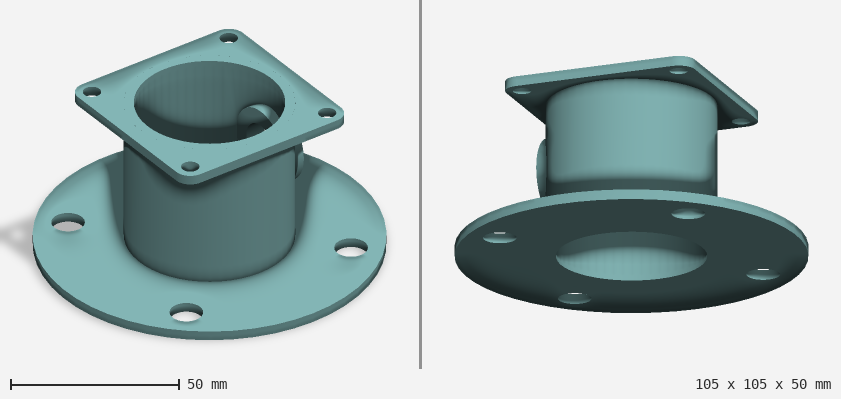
import cadquery as cq

TOTAL_HEIGHT = 50.0
PLATE_THICKNESS = 3.0
TILT = 14

TUBE_DIAMETER = 50.9
BORE_DIAMETER = 44.9

BASE_DIAMETER = 105
BASE_HOLE_DIAMETER = 10.0
BASE_HOLE_CIRCLE = 85

TOP_HOLE_SPACING = 50.0
TOP_CORNER_RADIUS = 5.0
TOP_SIDE = TOP_HOLE_SPACING + 2 * TOP_CORNER_RADIUS
TOP_HOLE_DIAMETER = 5.5

PORT_DIAMETER = 25.0
PORT_BORE_DIAMETER = 15.0
PORT_HEIGHT = 27.0
PORT_INNER_FACE = 18.8
PORT_OUTER_FACE = TUBE_DIAMETER / 2


def tilt(body):
    """Turn a body by the common angle about the tube axis."""
    return body.rotate((0, 0, 0), (0, 0, 1), TILT)


def make_base_flange():
    """Round plate that fits around the foot of the tube."""
    plate = cq.Workplane("XY").circle(BASE_DIAMETER / 2).circle(TUBE_DIAMETER / 2).extrude(PLATE_THICKNESS)
    holes = (
        cq.Workplane("XY")
        .polarArray(BASE_HOLE_CIRCLE / 2, 45, 360, 4)
        .circle(BASE_HOLE_DIAMETER / 2)
        .extrude(PLATE_THICKNESS)
    )
    return tilt(plate.cut(holes))


def make_top_flange():
    """Rounded square plate that fits around the head of the tube."""
    plate = (
        cq.Workplane("XY", origin=(0, 0, TOTAL_HEIGHT - PLATE_THICKNESS))
        .rect(TOP_SIDE, TOP_SIDE)
        .extrude(PLATE_THICKNESS)
        .edges("|Z")
        .fillet(TOP_CORNER_RADIUS)
    )
    plate = plate.faces(">Z").workplane().hole(TUBE_DIAMETER)
    plate = (
        plate.faces(">Z")
        .workplane()
        .rect(TOP_HOLE_SPACING, TOP_HOLE_SPACING, forConstruction=True)
        .vertices()
        .hole(TOP_HOLE_DIAMETER)
    )
    return tilt(plate)


def port_cylinder(diameter, inner_face):
    """Cylinder along +Y from inner_face to the outer face of the port."""
    return (
        cq.Workplane("XZ", origin=(0, inner_face, PORT_HEIGHT))
        .circle(diameter / 2)
        .extrude(inner_face - PORT_OUTER_FACE)
    )


def make_tube():
    """Full-height tube with the port ring fused into its wall."""
    tube = cq.Workplane("XY").circle(TUBE_DIAMETER / 2).circle(BORE_DIAMETER / 2).extrude(TOTAL_HEIGHT)
    tube = tube.union(port_cylinder(PORT_DIAMETER, PORT_INNER_FACE))
    tube = tube.cut(port_cylinder(PORT_BORE_DIAMETER, PORT_INNER_FACE))
    return tilt(tube)


base_flange = make_base_flange()
top_flange = make_top_flange()
tube = make_tube()

result = cq.Compound.makeCompound([base_flange.val(), top_flange.val(), tube.val()])